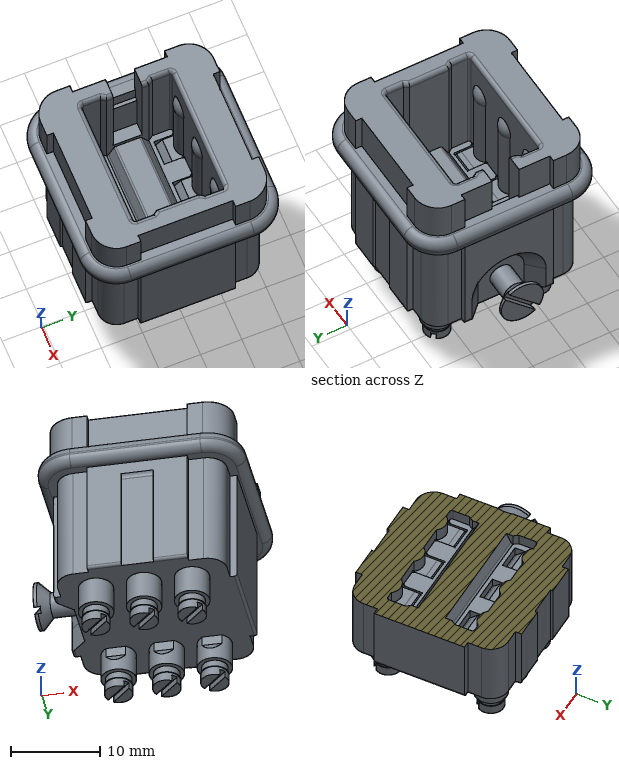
import cadquery as cq
import math

TOP_Z = 26.6
OVERALL_LENGTH = 25.35
FLANGE_WIDTH = 23.7
BODY_BOTTOM_Z = 5.35
CORNER_CENTRE = 7.48

OUTER_HALF = 10.5
INNER_HALF = 9.7
RIB_HALF_WIDTH = 5.75
RIB_BOTTOM_FILLET = 0.32

FLANGE_HALF = FLANGE_WIDTH / 2
FLANGE_BOTTOM_Z = 19.4
FLANGE_THICKNESS = 2.45
FLANGE_FILLET = 1.12
FLANGE_TOP_Z = FLANGE_BOTTOM_Z + FLANGE_THICKNESS

LATCH_HALF_WIDTH = 1.84
LATCH_TOP_Z = 17.95
LATCH_DEPTH = 0.3
LATCH_ARC_HEIGHT = 0.55

CAVITY_HALF_X = 7.8
CAVITY_HALF_Y = 5.48
CAVITY_WAIST_HALF_X = 7.4
WAIST_END_Y = 2.55
WAIST_START_Y = 3.15
CAVITY_FLOOR_Z = 11.97
CAVITY_CORNER_RADIUS = 0.27
RIM_FILLET = 0.53

BAR_TOP_Z = 13.57
BAR_BASE_HALF_WIDTH = 2.55
BAR_TOP_HALF_WIDTH = 1.6
BAR_FILLET = 0.27
BAR_TOE = 0.2

NOTCH_HALF_WIDTH = 1.75
NOTCH_LEDGE_Z = 19.95
NOTCH_LEDGE_X = -9.4
NOTCH_FLOOR_X = -8.95
NOTCH_FLOOR_Z = 14.1

CONTACT_PITCH = 5.5
CONTACT_ROW_Y = 6.5
COLLAR_DIAMETER = 4.0
COLLAR_BOTTOM_Z = 2.05
SHOULDER_HEIGHT = 0.13
NECK_DIAMETER = 3.0
FOOT_DIAMETER = 3.2
FOOT_HEIGHT = 1.17
PIN_DIAMETER = 3.2
BALL_DIAMETER = 3.35
BALL_BASE_Z = 21.31
FLAT_Y = 4.85
FLAT_BOTTOM_Z = 4.18
FLAT_RUNOUT_Z = 3.4
FOOT_SLOT_WIDTH = 0.7
FOOT_SLOT_DEPTH = 0.77
FOOT_SLOT_ANGLE = 45.0

PIT_HALF_WIDTH = 1.52
FRONT_PIT_FLOOR = [(-2.98, 0.75), (-3.3, 0.3), (-3.95, 0.27), (-CAVITY_HALF_Y, 0.27)]
BACK_PIT_FLOOR = [(3.03, 1.12), (3.25, 1.0), (4.05, 0.27), (CAVITY_HALF_Y, 0.27)]

SCREW_Z = 8.62
SCREW_END_X = FLANGE_HALF - OVERALL_LENGTH
SCREW_HEAD_DIAMETER = 5.48
SCREW_SHANK_DIAMETER = 2.9
SCREW_RIM_LENGTH = 0.4
SCREW_SLOT_WIDTH = 0.77
SCREW_SLOT_DEPTH = 0.7
SCREW_SLOT_ANGLE = 45.0
POCKET_OUTER_RADIUS = 4.82
POCKET_DEPTH = 1.8

OVERCUT = 0.27


def box(x0, x1, y0, y1, z0, z1):
    """Block between two limits on each axis."""
    return cq.Workplane("XY").box(x1 - x0, y1 - y0, z1 - z0, centered=False).translate((x0, y0, z0))


def rounded_block(half, z0, z1):
    """Square block whose corner arcs share the common corner centres."""
    return box(-half, half, -half, half, z0, z1).edges("|Z").fillet(half - CORNER_CENTRE)


def turned_about_z(block, count):
    """Copies of a block spread evenly about the Z axis."""
    copies = [block.rotate((0, 0, 0), (0, 0, 1), i * 360 / count) for i in range(count)]
    joined = copies[0]
    for copy in copies[1:]:
        joined = joined.union(copy)
    return joined


def housing():
    """Lower body with four ribs, the sealing flange and the recessed collar above it."""
    lower = rounded_block(INNER_HALF, BODY_BOTTOM_Z, FLANGE_TOP_Z)
    rib = box(-RIB_HALF_WIDTH, RIB_HALF_WIDTH, -OUTER_HALF, 0, BODY_BOTTOM_Z, FLANGE_BOTTOM_Z + OVERCUT)
    rib = rib.edges("<Y and <Z").fillet(RIB_BOTTOM_FILLET)
    flange = rounded_block(FLANGE_HALF, FLANGE_BOTTOM_Z, FLANGE_TOP_Z)
    flange = flange.faces("<Z or >Z").edges().fillet(FLANGE_FILLET)
    collar = rounded_block(OUTER_HALF, FLANGE_TOP_Z - OVERCUT, TOP_Z)
    recess = box(
        -RIB_HALF_WIDTH, RIB_HALF_WIDTH, -OUTER_HALF - OVERCUT, -INNER_HALF, FLANGE_TOP_Z, TOP_Z + OVERCUT
    )
    collar = collar.cut(turned_about_z(recess, 4))
    return lower.union(turned_about_z(rib, 4)).union(flange).union(collar)


def latch_recesses():
    """Shallow recesses in the front and back ribs, ending in a concave arc at the top."""
    radius = (LATCH_ARC_HEIGHT**2 + LATCH_DEPTH**2) / (2 * LATCH_DEPTH)
    floor_y = LATCH_DEPTH - OUTER_HALF
    arc_start_z = LATCH_TOP_Z - LATCH_ARC_HEIGHT
    half_angle = math.asin(LATCH_ARC_HEIGHT / radius) / 2
    arc_middle = (
        floor_y - radius * (1 - math.cos(half_angle)),
        arc_start_z + radius * math.sin(half_angle),
    )
    recess = (
        cq.Workplane("YZ")
        .moveTo(-OUTER_HALF - OVERCUT, BODY_BOTTOM_Z - OVERCUT)
        .lineTo(floor_y, BODY_BOTTOM_Z - OVERCUT)
        .lineTo(floor_y, arc_start_z)
        .threePointArc(arc_middle, (-OUTER_HALF, LATCH_TOP_Z))
        .lineTo(-OUTER_HALF - OVERCUT, LATCH_TOP_Z)
        .close()
        .extrude(LATCH_HALF_WIDTH, both=True)
    )
    return turned_about_z(recess, 2)


def hollow(body):
    """Cavity with a slightly narrower waist, rounded at its rim."""
    corner = (CAVITY_HALF_X, CAVITY_HALF_Y)
    quarter = [corner, (CAVITY_HALF_X, WAIST_START_Y), (CAVITY_WAIST_HALF_X, WAIST_END_Y)]
    right_side = quarter + [(x, -y) for x, y in reversed(quarter)]
    left_side = [(-x, -y) for x, y in right_side]
    cavity = (
        cq.Workplane("XY", origin=(0, 0, CAVITY_FLOOR_Z))
        .polyline(right_side + left_side)
        .close()
        .extrude(TOP_Z - CAVITY_FLOOR_Z)
    )
    cavity = cavity.edges("|Z").edges(">Y or <Y").fillet(CAVITY_CORNER_RADIUS)
    body = body.cut(cavity)
    rim = cq.selectors.BoxSelector(
        (-CAVITY_HALF_X - OVERCUT, -CAVITY_HALF_Y - OVERCUT, TOP_Z - OVERCUT),
        (CAVITY_HALF_X + OVERCUT, CAVITY_HALF_Y + OVERCUT, TOP_Z + OVERCUT),
    )
    return body.edges(rim).fillet(RIM_FILLET)


def bar():
    """Raised bar along the middle of the cavity floor, with sloped flanks and a small toe."""
    half_outline = [
        (BAR_BASE_HALF_WIDTH, CAVITY_FLOOR_Z - OVERCUT),
        (BAR_BASE_HALF_WIDTH, CAVITY_FLOOR_Z),
        (BAR_BASE_HALF_WIDTH - BAR_TOE, CAVITY_FLOOR_Z + BAR_TOE),
        (BAR_TOP_HALF_WIDTH, BAR_TOP_Z),
    ]
    other_half = [(-y, z) for y, z in reversed(half_outline)]
    solid = (
        cq.Workplane("YZ")
        .polyline(half_outline + other_half)
        .close()
        .extrude(CAVITY_WAIST_HALF_X + OVERCUT, both=True)
    )
    return solid.faces(">Z").edges("|X").fillet(BAR_FILLET)


def notch():
    """Keyway through the -X wall, stepping down from the flange to a floor above the bar."""
    wide = (-NOTCH_HALF_WIDTH, NOTCH_HALF_WIDTH)
    upper = box(-OUTER_HALF - OVERCUT, 0, *wide, FLANGE_TOP_Z, TOP_Z + OVERCUT)
    ledge = box(NOTCH_LEDGE_X, 0, *wide, NOTCH_LEDGE_Z, TOP_Z)
    floor = box(NOTCH_FLOOR_X, 0, *wide, NOTCH_FLOOR_Z, TOP_Z)
    return upper.union(ledge).union(floor)


def pit(floor_profile):
    """Pit in the cavity floor at X = 0, with a floor given as (Y, depth below the cavity floor)."""
    floor = [(y, CAVITY_FLOOR_Z - depth) for y, depth in floor_profile]
    first_y = floor_profile[0][0]
    last_y = floor_profile[-1][0]
    outline = [(first_y, CAVITY_FLOOR_Z + OVERCUT)] + floor + [(last_y, CAVITY_FLOOR_Z + OVERCUT)]
    return cq.Workplane("YZ").polyline(outline).close().extrude(PIT_HALF_WIDTH, both=True)


def contact():
    """Front-row contact on the Z axis: slotted foot, neck, flatted collar and ball-ended pin."""
    foot_radius = FOOT_DIAMETER / 2
    neck_radius = NECK_DIAMETER / 2
    collar_radius = COLLAR_DIAMETER / 2
    pin_radius = PIN_DIAMETER / 2
    ball_radius = BALL_DIAMETER / 2
    ball_centre_z = BALL_BASE_Z + math.sqrt(ball_radius**2 - pin_radius**2)
    collar_top_z = BODY_BOTTOM_Z + OVERCUT
    turned = (
        cq.Workplane("XZ")
        .polyline(
            [
                (0, 0),
                (foot_radius, 0),
                (foot_radius, FOOT_HEIGHT),
                (neck_radius, FOOT_HEIGHT),
                (neck_radius, COLLAR_BOTTOM_Z),
                (collar_radius, COLLAR_BOTTOM_Z),
                (collar_radius, collar_top_z),
                (pin_radius, collar_top_z),
                (pin_radius, BALL_BASE_Z),
            ]
        )
        .threePointArc((ball_radius, ball_centre_z), (0, ball_centre_z + ball_radius))
        .close()
        .revolve(360, (0, 0, 0), (0, 1, 0))
    )
    flat_offset = CONTACT_ROW_Y - FLAT_Y
    flat = (
        cq.Workplane("YZ")
        .polyline(
            [
                (flat_offset, collar_top_z),
                (flat_offset, FLAT_BOTTOM_Z),
                (collar_radius, FLAT_RUNOUT_Z),
                (collar_radius, collar_top_z),
            ]
        )
        .close()
        .extrude(collar_radius, both=True)
    )
    slot = box(
        -foot_radius, foot_radius, -FOOT_SLOT_WIDTH / 2, FOOT_SLOT_WIDTH / 2, -OVERCUT, FOOT_SLOT_DEPTH
    )
    return turned.cut(flat).cut(slot.rotate((0, 0, 0), (0, 0, 1), -FOOT_SLOT_ANGLE))


def fit_contacts(body):
    """Two facing rows of three contacts, each with a shoulder and a pit at the cavity floor."""
    shoulder = (
        cq.Workplane("XY", origin=(0, 0, CAVITY_FLOOR_Z - OVERCUT))
        .circle(COLLAR_DIAMETER / 2)
        .extrude(OVERCUT + SHOULDER_HEIGHT)
    )
    front_pin = contact()
    back_pin = front_pin.rotate((0, 0, 0), (0, 0, 1), 180)
    rows = [
        (-CONTACT_ROW_Y, front_pin, pit(FRONT_PIT_FLOOR)),
        (CONTACT_ROW_Y, back_pin, pit(BACK_PIT_FLOOR)),
    ]
    for column in (-1, 0, 1):
        x = column * CONTACT_PITCH
        for y, pin, row_pit in rows:
            body = body.union(shoulder.translate((x, y, 0)))
            body = body.cut(row_pit.translate((x, 0, 0)))
            body = body.union(pin.translate((x, y, 0)))
    return body


def screw_pocket():
    """Arched pocket with 45 degree flanks in the -X rib, open at the bottom."""
    mouth_x = -OUTER_HALF - OVERCUT
    floor_x = -OUTER_HALF + POCKET_DEPTH
    mouth_radius = POCKET_OUTER_RADIUS + OVERCUT
    floor_radius = POCKET_OUTER_RADIUS - POCKET_DEPTH
    cone = (
        cq.Workplane("XY")
        .polyline([(mouth_x, 0), (mouth_x, mouth_radius), (floor_x, floor_radius), (floor_x, 0)])
        .close()
        .revolve(360, (0, 0, 0), (1, 0, 0))
        .translate((0, 0, SCREW_Z))
    )
    channel = (
        cq.Workplane("XY", origin=(0, 0, BODY_BOTTOM_Z - OVERCUT))
        .polyline(
            [
                (mouth_x, mouth_radius),
                (floor_x, floor_radius),
                (floor_x, -floor_radius),
                (mouth_x, -mouth_radius),
            ]
        )
        .close()
        .extrude(SCREW_Z - BODY_BOTTOM_Z + OVERCUT)
    )
    return cone.union(channel)


def screw():
    """Slotted countersunk screw standing out of the pocket, its slot turned by 45 degrees."""
    head_radius = SCREW_HEAD_DIAMETER / 2
    shank_radius = SCREW_SHANK_DIAMETER / 2
    rim_x = SCREW_END_X + SCREW_RIM_LENGTH
    cone_end_x = rim_x + head_radius - shank_radius
    embedded_x = -OUTER_HALF + POCKET_DEPTH + OVERCUT
    turned = (
        cq.Workplane("XY")
        .polyline(
            [
                (SCREW_END_X, 0),
                (SCREW_END_X, head_radius),
                (rim_x, head_radius),
                (cone_end_x, shank_radius),
                (embedded_x, shank_radius),
                (embedded_x, 0),
            ]
        )
        .close()
        .revolve(360, (0, 0, 0), (1, 0, 0))
    )
    slot = box(
        SCREW_END_X - OVERCUT,
        SCREW_END_X + SCREW_SLOT_DEPTH,
        -head_radius,
        head_radius,
        -SCREW_SLOT_WIDTH / 2,
        SCREW_SLOT_WIDTH / 2,
    )
    return turned.cut(slot.rotate((0, 0, 0), (1, 0, 0), SCREW_SLOT_ANGLE)).translate((0, 0, SCREW_Z))


result = housing().cut(latch_recesses())
result = hollow(result).union(bar()).cut(notch())
result = fit_contacts(result)
result = result.cut(screw_pocket()).union(screw())